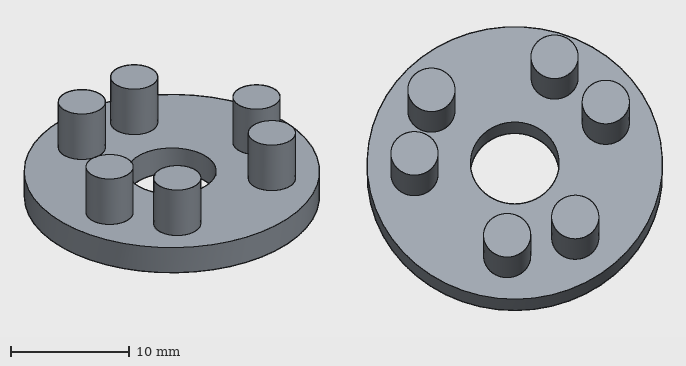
import cadquery as cq

disc_diameter = 25
disc_thickness = 2.5
bore_diameter = 7.5

total_height = 7
pin_diameter = 4
pin_height = total_height - disc_thickness
pair_count = 3
pair_spacing = 6
pair_distance = 8


def make_disc():
    """Flat ring resting on the XY plane."""
    return (
        cq.Workplane("XY")
        .circle(disc_diameter / 2)
        .circle(bore_diameter / 2)
        .extrude(disc_thickness)
    )


def make_pin_pair():
    """Two pins on the -Y side, symmetric about the YZ plane."""
    centers = [(-pair_spacing / 2, -pair_distance), (pair_spacing / 2, -pair_distance)]
    return (
        cq.Workplane("XY")
        .workplane(offset=disc_thickness)
        .pushPoints(centers)
        .circle(pin_diameter / 2)
        .extrude(pin_height)
    )


result = make_disc()
for index in range(pair_count):
    angle = index * 360 / pair_count
    result = result.union(make_pin_pair().rotate((0, 0, 0), (0, 0, 1), angle))